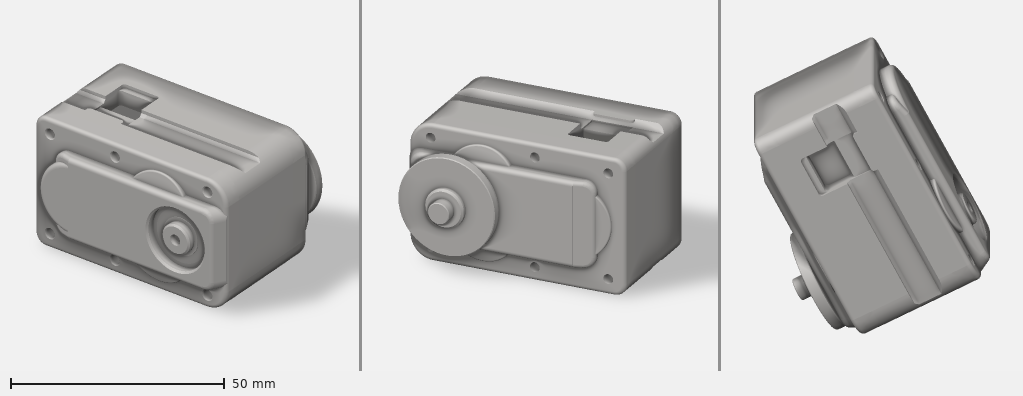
import cadquery as cq
import math


left_face = -43.4
right_face = 12.6
case_height = 35.0
case_depth = 31.6
left_corner_radius = 3.0
right_corner_radius = 6.0
case_edge_radius = 1.0
rear_parting = 10.2
front_parting = -10.8
cover_draft = 0.2

pad_face = 19.0
pad_left = -36.3
pad_right = 12.45
pad_height = 22.0
pad_corner_radius = 3.0
pad_edge_radius = 1.2
right_slope_angle = 30.0
left_slope_start = -31.3
left_slope_drop = 0.1
left_slope_rise = 0.28
sloped_edge_radius = 1.0

round_end_radius = 9.6
round_end_center = -30.3
tier_top = 17.0
tier_rise = 0.167
tier_edge_radius = 0.3

screw_hole_radius = 1.25
screw_hole_chamfer = 0.25
screw_holes = [(-39.0, 13.5), (-20.0, 14.0), (7.0, 14.0)]

plate_center_x = -6.6
plate_radius = 9.2
plate_top = 14.8
plate_rim = 16.3
plate_slope = 0.18
plate_edge_radius = 0.4

channel_depth = 1.65
channel_front = -5.95
channel_front_chamfer = 1.5
channel_rear = 0.6
channel_rear_chamfer = 0.75
pocket_left = -35.0
pocket_right = -24.5
pocket_rear = 7.75
pocket_front = -6.0
pocket_corner_radius = 0.8
pocket_lip_depth = 1.05
pocket_lip_width = 1.5
pocket_shelf_depth = 2.1
pocket_shelf_rear = -1.25
pocket_floor_depth = 5.0
tab_thickness = 0.6

seat_mouth_radius = 8.7
seat_radius = 8.2
seat_depth = 2.4
seat_plateau_radius = 7.1
seat_plateau_depth = 2.3
collar_radius = 5.0
collar_depth = 2.1
idler_hole_depth = 3.4
idler_boss_radius = 4.0
idler_boss_chamfer = 0.45
idler_bore_radius = 1.45
idler_bore_depth = 1.8

neck_radius = 5.0
disc_radius = 12.5
disc_front = 19.3
disc_rear = 22.0
disc_chamfer = 0.2
hub_rear = 23.5
hub_chamfer = 0.5
shaft_radius = 2.75
shaft_end = 26.4
shaft_chamfer = 0.2

case_half = case_depth / 2
case_width = right_face - left_face
case_middle = (left_face + right_face) / 2
top_face = case_height / 2
pad_half = pad_height / 2
pad_root = case_half - 2 * case_edge_radius
seat_chamfer = seat_mouth_radius - seat_radius
trim_size = 2 * case_width



def plane_at(y, facing):
    """Plane across the output axis at the given Y, with its normal toward +Y (1) or -Y (-1)."""
    return cq.Plane(origin=(0, y, 0), xDir=(1, 0, 0), normal=(0, facing, 0))


def cylinder(x, z, radius, start, end):
    """Cylinder along Y from start to end."""
    facing = 1 if end > start else -1
    circle = cq.Workplane(plane_at(start, facing)).center(x, -facing * z).circle(radius)
    return circle.extrude(abs(end - start))


def cone_mouth(x, z, face, radius, chamfer):
    """Tool that chamfers the mouth of a hole opening toward -Y."""
    cone = cq.Solid.makeCone(
        radius + chamfer, radius, chamfer, pnt=cq.Vector(x, face, z), dir=cq.Vector(0, 1, 0)
    )
    return cq.Workplane(cone)


def pad_prism(outline):
    """Prism as high as the pad, from an outline in X and Y."""
    return cq.Workplane("XY").workplane(offset=-pad_half).polyline(outline).close().extrude(pad_height)


def trim_block(x, side):
    """Large block on the left (-1) or right (1) of the given X."""
    return cq.Workplane("XY").box(trim_size, trim_size, trim_size).translate((x + side * trim_size / 2, 0, 0))


def sloped_face(rise):
    """Selects the face that faces +Y and climbs toward +X by the given rise."""
    return cq.selectors.DirectionMinMaxSelector(cq.Vector(-rise, 1, 0))



def case_outline(y, facing):
    sketch = (
        cq.Sketch()
        .rect(case_width, case_height)
        .vertices("<X").fillet(left_corner_radius)
        .reset().vertices(">X").fillet(right_corner_radius)
    )
    return cq.Workplane(plane_at(y, facing)).center(case_middle, 0).placeSketch(sketch)


def case_block():
    """Straight middle band with a slightly drafted cover section at each end."""
    middle = case_outline(front_parting, 1).extrude(rear_parting - front_parting)
    rear = case_outline(rear_parting, 1).extrude(case_half - rear_parting, taper=cover_draft)
    front = case_outline(front_parting, -1).extrude(case_half + front_parting, taper=cover_draft)
    rear = rear.faces(">Y").edges().fillet(case_edge_radius)
    front = front.faces("<Y").edges().fillet(case_edge_radius)
    return middle.union(rear, clean=False).union(front, clean=False)


def main_pad():
    """Flat part of the rear pad, with its sloped right end."""
    slope = math.tan(math.radians(right_slope_angle))
    shoulder = pad_right - (pad_face - case_half) * slope
    foot = pad_right + (case_half - pad_root) * slope
    pad = pad_prism([(pad_left, pad_root), (pad_left, pad_face), (shoulder, pad_face), (foot, pad_root)])
    pad = pad.faces(">X").edges("not(|Z)").fillet(pad_corner_radius)
    pad = pad.faces(">Y").edges().fillet(pad_edge_radius)
    return pad.intersect(trim_block(left_slope_start, 1)).intersect(trim_block(pad_right, -1))


def sloped_end():
    """Left end of the rear pad, falling away to the left."""
    overlap = left_slope_start + pad_corner_radius
    slope_top = pad_face - left_slope_drop
    left_y = slope_top - (left_slope_start - pad_left) * left_slope_rise
    right_y = slope_top + (overlap - left_slope_start) * left_slope_rise
    end = pad_prism([(pad_left, pad_root), (pad_left, left_y), (overlap, right_y), (overlap, pad_root)])
    end = end.edges("<X").edges("|Y").fillet(pad_corner_radius)
    end = end.faces(sloped_face(left_slope_rise)).edges().fillet(sloped_edge_radius)
    return end.intersect(trim_block(left_slope_start, -1))


def rear_round_end():
    """Low round tier whose top slopes down to the left from under the pad's end."""
    tip = round_end_center - round_end_radius
    tip_y = tier_top - (pad_left - tip) * tier_rise
    inner_y = tier_top + (left_slope_start - pad_left) * tier_rise
    under_slope = pad_prism(
        [(tip, pad_root), (tip, tip_y), (left_slope_start, inner_y), (left_slope_start, pad_root)]
    )
    tier = cylinder(round_end_center, 0, round_end_radius, pad_root, pad_face).intersect(under_slope)
    return tier.faces(sloped_face(tier_rise)).edges("not(|Z)").fillet(tier_edge_radius)


def front_round_end():
    end = cylinder(round_end_center, 0, round_end_radius, -pad_root, -pad_face)
    return end.faces("<Y").edges().fillet(pad_edge_radius)


def tilted_plates():
    """Rear plates above and below the pad, each falling away from the pad."""
    height = plate_rim + plate_slope * plate_top
    disc = cylinder(plate_center_x, plate_top - plate_radius, plate_radius, pad_root, height)
    under_tilt = (
        cq.Workplane("YZ").workplane(offset=plate_center_x - plate_radius)
        .polyline([(pad_root, 0), (height, 0), (plate_rim, plate_top), (pad_root, plate_top)])
        .close().extrude(2 * plate_radius)
    )
    plate = disc.intersect(under_tilt)
    tilted_face = plate.faces(cq.selectors.DirectionMinMaxSelector(cq.Vector(0, 1, plate_slope)))
    plate = tilted_face.edges("not(|X)").fillet(plate_edge_radius)
    return plate.union(plate.mirror("XY"))


def channel():
    """Tool for the channel along the top, from one side of the case to the other."""
    floor = top_face - channel_depth
    outline = [
        (channel_rear, top_face),
        (channel_rear, floor + channel_rear_chamfer),
        (channel_rear - channel_rear_chamfer, floor),
        (channel_front, floor),
        (channel_front - channel_front_chamfer, top_face),
    ]
    return cq.Workplane("YZ").workplane(offset=left_face).polyline(outline).close().extrude(case_width)


def pocket_box(front, rear, depth):
    """Box as wide as the pocket, sunk from the top, with its two rear corners rounded."""
    box = (
        cq.Workplane("XY").workplane(offset=top_face)
        .center((pocket_left + pocket_right) / 2, (front + rear) / 2)
        .rect(pocket_right - pocket_left, rear - front).extrude(-depth)
    )
    return box.edges("|Z").edges(">Y").fillet(pocket_corner_radius)


def connector_pocket():
    """Tool for the pocket in the channel: a lip at the rear, a deep floor and a shelf at the front."""
    lip = pocket_box(pocket_front, pocket_rear, pocket_lip_depth)
    deep = pocket_box(pocket_shelf_rear, pocket_rear - pocket_lip_width, pocket_floor_depth)
    shelf = pocket_box(pocket_front, pocket_shelf_rear + pocket_corner_radius, pocket_shelf_depth)
    return lip.union(deep).union(shelf)


def top_recess():
    """Channel and pocket together. A thin tab is left standing over the channel at the pocket's front."""
    tab = pocket_box(channel_front - channel_front_chamfer, pocket_front, tab_thickness)
    return channel().cut(tab).union(connector_pocket())


def drill_screw_holes(body):
    for x, height in screw_holes:
        for z in (-height, height):
            body = body.cut(cylinder(x, z, screw_hole_radius, -case_half, case_half))
            body = body.cut(cone_mouth(x, z, -case_half, screw_hole_radius, screw_hole_chamfer))
    return body


def seat_cylinder(radius, depth):
    """Cylinder on the output axis, from the front pad's face to the given depth."""
    return cylinder(0, 0, radius, -pad_face, depth - pad_face)


def cut_idler_seat(body):
    plateau = cylinder(0, 0, seat_plateau_radius, seat_depth - pad_face, seat_plateau_depth - pad_face)
    body = body.cut(seat_cylinder(seat_radius, seat_depth).cut(plateau))
    body = body.cut(seat_cylinder(collar_radius, idler_hole_depth))
    return body.cut(cone_mouth(0, 0, -pad_face, seat_radius, seat_chamfer))


def make_case():
    pad = main_pad().union(sloped_end())
    rear_pad = pad.union(rear_round_end())
    front_pad = pad.mirror("XZ").union(front_round_end())
    plates = tilted_plates()
    body = case_block()
    for raised in (plates, plates.mirror("XZ"), rear_pad, front_pad):
        body = body.union(raised, clean=False)
    recess = top_recess()
    body = body.cut(recess).cut(recess.mirror("XY"))
    body = drill_screw_holes(body)
    return cut_idler_seat(body)



def make_idler():
    """Bored boss, level with the pad face, on a collar that fills the hole in the seat."""
    collar = cylinder(0, 0, collar_radius, idler_hole_depth - pad_face, collar_depth - pad_face)
    boss = cylinder(0, 0, idler_boss_radius, collar_depth - pad_face, -pad_face)
    boss = boss.faces("<Y").edges().chamfer(idler_boss_chamfer)
    return collar.union(boss).cut(seat_cylinder(idler_bore_radius, idler_bore_depth))



def make_horn():
    """Turned disc with a neck toward the case and a stepped hub and shaft behind it."""
    profile = [
        (0, pad_face),
        (neck_radius, pad_face),
        (neck_radius, disc_front),
        (disc_radius - disc_chamfer, disc_front),
        (disc_radius, disc_front + disc_chamfer),
        (disc_radius, disc_rear - disc_chamfer),
        (disc_radius - disc_chamfer, disc_rear),
        (neck_radius, disc_rear),
        (neck_radius, hub_rear - hub_chamfer),
        (neck_radius - hub_chamfer, hub_rear),
        (shaft_radius, hub_rear),
        (shaft_radius, shaft_end - shaft_chamfer),
        (shaft_radius - shaft_chamfer, shaft_end),
        (0, shaft_end),
    ]
    return cq.Workplane("XY").polyline(profile).close().revolve(360, (0, 0, 0), (0, 1, 0))


case = make_case()
idler = make_idler()
horn = make_horn()

result = cq.Compound.makeCompound([case.val(), idler.val(), horn.val()])